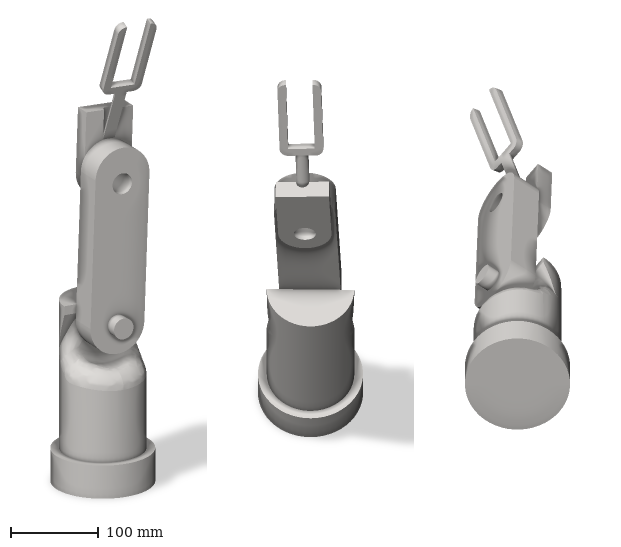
import cadquery as cq

SWING = -40.0
LEAN = -2.1
FORK_TILT = 21.5
AXIS_X = cq.Vector(1, 0, 0)
AXIS_Y = cq.Vector(0, 1, 0)
AXIS_Z = cq.Vector(0, 0, 1)
ORIGIN = cq.Vector(0, 0, 0)

FLANGE_DIAMETER = 120.0
FLANGE_HEIGHT = 40.0
COLUMN_RADIUS = 50.0
COLUMN_TOP = 220.5
SHOULDER_Z = 200.5
SEAT_CENTRE_Z = 206.0
SEAT_RADIUS = 60.0
SEAT_ROOT_FILLET = 10.0
SEAT_RIM_FILLET = 20.0
RIM_FADE_TOP = 209.5
RIM_FADE_BOTTOM = 163.5
MARGIN = 6.0
PIN_RADIUS = 12.5
PIN_LENGTH = 50.0

LINK_RADIUS = 35.0
LINK_THICKNESS = 35.0
LINK_LENGTH = 170.5
LINK_END_OFFSET = 8.5

WRIST_RADIUS = 30.5
WRIST_THICKNESS = 20.0
WRIST_HEIGHT = 79.0
FORK_PIVOT_HEIGHT = 43.5

STEM_RADIUS = 7.5
STEM_LENGTH = 68.0
FORK_WIDTH = 50.0
FORK_LENGTH = 100.0
PRONG_SIZE = 10.0
FORK_CORNER_RADIUS = 9.0


def swing(body):
    """Turn a body from the joint frame to its final heading."""
    return body.rotate(ORIGIN, AXIS_Z, SWING)


def lean_at_shoulder(body):
    """Lean a body built with the shoulder joint at the origin, then lift it into place."""
    return body.rotate(ORIGIN, AXIS_X, LEAN).translate((0, 0, SHOULDER_Z))


def make_flange():
    return cq.Workplane("XY").circle(FLANGE_DIAMETER / 2).extrude(FLANGE_HEIGHT)


def make_seat_cutter():
    """Round-bottomed slot that clears the link on the +X half of the column."""
    slot_top = COLUMN_TOP - SEAT_CENTRE_Z + MARGIN
    return (
        cq.Workplane("YZ", origin=(0, 0, SEAT_CENTRE_Z))
        .moveTo(-SEAT_RADIUS, slot_top)
        .lineTo(-SEAT_RADIUS, 0)
        .threePointArc((0, -SEAT_RADIUS), (SEAT_RADIUS, 0))
        .lineTo(SEAT_RADIUS, slot_top)
        .close()
        .extrude(2 * COLUMN_RADIUS)
        .faces("<X")
        .edges("%CIRCLE")
        .fillet(SEAT_ROOT_FILLET)
    )


def is_seat_edge(edge):
    """True for the curved edges of the seat, between the flange and the column top."""
    middle = edge.Center()
    in_front = middle.x > MARGIN
    below_top = FLANGE_HEIGHT + MARGIN < middle.z < COLUMN_TOP - MARGIN
    return in_front and below_top and edge.geomType() != "LINE"


def make_rim_fade():
    """Half column with a slanted underside that tapers the rim rounding away toward the top."""
    slab = (
        cq.Workplane("XZ")
        .moveTo(0, COLUMN_TOP)
        .lineTo(0, RIM_FADE_TOP)
        .lineTo(-SEAT_RIM_FILLET, RIM_FADE_BOTTOM)
        .lineTo(-COLUMN_RADIUS, RIM_FADE_BOTTOM)
        .lineTo(-COLUMN_RADIUS, COLUMN_TOP)
        .close()
        .extrude(COLUMN_RADIUS, both=True)
    )
    return slab.intersect(cq.Workplane("XY").circle(COLUMN_RADIUS).extrude(COLUMN_TOP))


def make_column():
    column = (
        cq.Workplane("XY", origin=(0, 0, FLANGE_HEIGHT))
        .circle(COLUMN_RADIUS)
        .extrude(COLUMN_TOP - FLANGE_HEIGHT)
    )
    column = column.cut(make_seat_cutter())
    rim = [edge for edge in column.edges().vals() if is_seat_edge(edge)]
    column = column.newObject(rim).fillet(SEAT_RIM_FILLET).union(make_rim_fade())
    pin = cq.Workplane("YZ", origin=(0, 0, SHOULDER_Z)).circle(PIN_RADIUS).extrude(PIN_LENGTH)
    return column.union(pin)


def make_link():
    straight_length = LINK_LENGTH + LINK_END_OFFSET
    link = (
        cq.Workplane("YZ")
        .center(0, straight_length / 2)
        .slot2D(straight_length + 2 * LINK_RADIUS, 2 * LINK_RADIUS, 90)
        .extrude(LINK_THICKNESS)
    )
    holes = (
        cq.Workplane("YZ")
        .pushPoints([(0, 0), (0, LINK_LENGTH)])
        .circle(PIN_RADIUS)
        .extrude(LINK_THICKNESS)
    )
    return link.cut(holes)


def make_wrist():
    """Round-ended block behind the link, with a half-round groove for the fork stem."""
    wrist = (
        cq.Workplane("YZ", origin=(0, 0, LINK_LENGTH))
        .moveTo(-WRIST_RADIUS, WRIST_HEIGHT)
        .lineTo(-WRIST_RADIUS, 0)
        .threePointArc((0, -WRIST_RADIUS), (WRIST_RADIUS, 0))
        .lineTo(WRIST_RADIUS, WRIST_HEIGHT)
        .close()
        .moveTo(0, 0)
        .circle(PIN_RADIUS)
        .extrude(-WRIST_THICKNESS)
    )
    groove = (
        cq.Workplane("XY", origin=(0, 0, LINK_LENGTH + FORK_PIVOT_HEIGHT))
        .circle(STEM_RADIUS)
        .extrude(WRIST_HEIGHT - FORK_PIVOT_HEIGHT)
    )
    return wrist.cut(groove)


def make_fork():
    """Two-pronged fork on a half-round stem; its front face is flush with the stem flat."""
    stem = (
        cq.Workplane("XY")
        .moveTo(0, -STEM_RADIUS)
        .threePointArc((-STEM_RADIUS, 0), (0, STEM_RADIUS))
        .close()
        .extrude(STEM_LENGTH)
    )
    plate = (
        cq.Workplane("YZ", origin=(0, 0, STEM_LENGTH + FORK_LENGTH / 2))
        .rect(FORK_WIDTH, FORK_LENGTH)
        .extrude(-PRONG_SIZE)
        .edges("|X")
        .fillet(FORK_CORNER_RADIUS)
    )
    gap_length = FORK_LENGTH - PRONG_SIZE
    gap = (
        cq.Workplane("YZ", origin=(0, 0, STEM_LENGTH + PRONG_SIZE + gap_length / 2))
        .rect(FORK_WIDTH - 2 * PRONG_SIZE, gap_length)
        .extrude(-PRONG_SIZE)
    )
    fork = stem.union(plate.cut(gap)).rotate(ORIGIN, AXIS_Y, FORK_TILT)
    return fork.translate((0, 0, LINK_LENGTH + FORK_PIVOT_HEIGHT))


flange = make_flange()
column = swing(make_column())
link = swing(lean_at_shoulder(make_link()))
wrist = swing(lean_at_shoulder(make_wrist()))
fork = swing(lean_at_shoulder(make_fork()))

result = cq.Compound.makeCompound([flange.val(), column.val(), link.val(), wrist.val(), fork.val()])